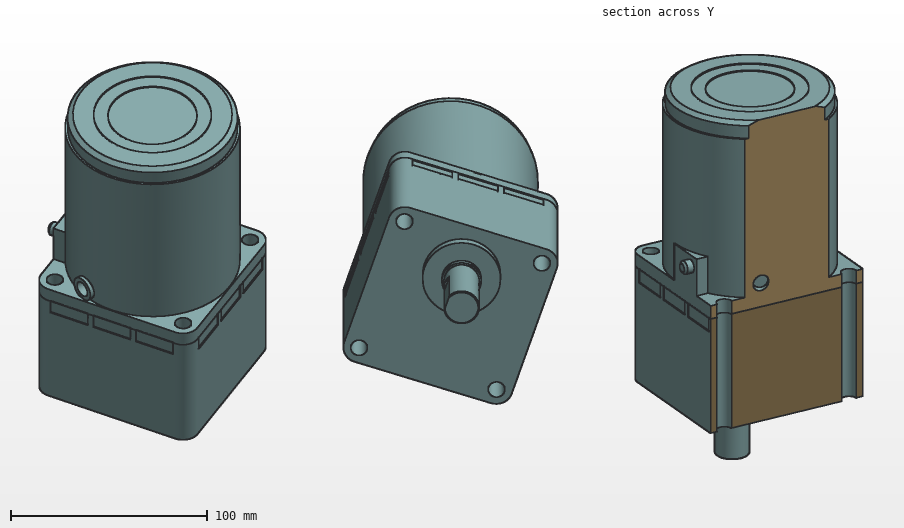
import cadquery as cq
import math


SQUARE_SIDE = 89.9
CORNER_RADIUS = 8.5
BOLT_SPACING = 73.6
BOLT_HOLE_DIAMETER = 8.5
HALF_SIDE = SQUARE_SIDE / 2

FLANGE_THICKNESS = 7.5
BARREL_DIAMETER = 89.0
BARREL_LENGTH = 88.5
CAP_DIAMETER = 86.5
CAP_HEIGHT = 8.9
CAP_CHAMFER_HEIGHT = 2.0
CAP_CHAMFER_WIDTH = 2.7
CAP_RECESS_DIAMETERS = (60.0, 45.4)
CAP_RECESS_STEP = 0.6
BARREL_TOP = FLANGE_THICKNESS + BARREL_LENGTH
CAP_TOP = BARREL_TOP + CAP_HEIGHT

TERMINAL_WIDTH = 22.8
TERMINAL_HEIGHT = 20.5
SCREW_DIAMETER = 7.2
SCREW_LENGTH = 5.0
SCREW_CHAMFER = 1.3
SCREW_Y = -16.7
SCREW_HEIGHT = 14.3

OUTLET_DIAMETER = 12.9
OUTLET_BORE_DIAMETER = 8.2
OUTLET_BORE_DEPTH = 10.5
OUTLET_REACH = 46.6
OUTLET_ANGLE = 22.5
OUTLET_HEIGHT = 6.0

GEARBOX_HEIGHT = 63.7
WINDOW_WIDTH = 21.3
WINDOW_HEIGHT = 7.5
WINDOW_DEPTH = 0.6
WINDOW_PITCH = 24.5
WINDOWS_PER_SIDE = 3

SHAFT_OFFSET_Y = 18.0
BOSS_DIAMETER = 39.7
BOSS_HEIGHT = 5.0
COLLAR_DIAMETER = 20.0
COLLAR_HEIGHT = 3.0
SHAFT_DIAMETER = 18.0
SHAFT_LENGTH = 34.4
SHAFT_TIP_CHAMFER = 0.53
FLAT_LENGTH = 25.1
FLAT_DEPTH = 1.0


def square_plate(bottom, height):
    """Square block with rounded corners and four bolt holes."""
    return (
        cq.Workplane("XY", origin=(0, 0, bottom))
        .rect(SQUARE_SIDE, SQUARE_SIDE)
        .extrude(height)
        .edges("|Z")
        .fillet(CORNER_RADIUS)
        .faces(">Z")
        .workplane()
        .rect(BOLT_SPACING, BOLT_SPACING, forConstruction=True)
        .vertices()
        .hole(BOLT_HOLE_DIAMETER)
    )


def disc(diameter, bottom, height, y=0):
    """Upright cylinder; a negative height makes it hang below its start."""
    return cq.Workplane("XY", origin=(0, y, bottom)).circle(diameter / 2).extrude(height)


def motor_cap():
    """End cap with a bevelled rim and two stepped recesses in its top."""
    cap = disc(CAP_DIAMETER, BARREL_TOP, CAP_HEIGHT)
    cap = cap.faces(">Z").chamfer(CAP_CHAMFER_HEIGHT, CAP_CHAMFER_WIDTH)
    for step, diameter in enumerate(CAP_RECESS_DIAMETERS, start=1):
        cap = cap.cut(disc(diameter, CAP_TOP, -step * CAP_RECESS_STEP))
    return cap


def earth_terminal():
    """Block that squares off the barrel on the -X side, with its screw."""
    block = cq.Workplane("XY").box(
        HALF_SIDE, TERMINAL_WIDTH, TERMINAL_HEIGHT, centered=False
    ).translate((-HALF_SIDE, -TERMINAL_WIDTH, FLANGE_THICKNESS))
    screw = (
        cq.Workplane("YZ", origin=(-HALF_SIDE, SCREW_Y, FLANGE_THICKNESS + SCREW_HEIGHT))
        .circle(SCREW_DIAMETER / 2)
        .extrude(-SCREW_LENGTH)
        .faces("<X")
        .chamfer(SCREW_CHAMFER)
    )
    return block.union(screw)


def outlet_plug(diameter, length):
    """Cylinder that runs inwards from the end face of the cable outlet."""
    angle = math.radians(OUTLET_ANGLE)
    outwards = cq.Vector(-math.sin(angle), -math.cos(angle), 0)
    face_center = outwards * OUTLET_REACH + cq.Vector(0, 0, FLANGE_THICKNESS + OUTLET_HEIGHT)
    return cq.Workplane(cq.Solid.makeCylinder(diameter / 2, length, face_center, -outwards))


def make_motor():
    motor = (
        square_plate(0, FLANGE_THICKNESS)
        .union(disc(BARREL_DIAMETER, FLANGE_THICKNESS, BARREL_LENGTH))
        .union(motor_cap())
        .union(earth_terminal())
    )
    outlet = outlet_plug(OUTLET_DIAMETER, OUTLET_REACH / 2)
    bore = outlet_plug(OUTLET_BORE_DIAMETER, OUTLET_BORE_DEPTH)
    return motor.union(outlet).cut(bore)


def side_windows():
    """Shallow pockets along the top edge of all four gearbox sides."""
    row = (
        cq.Workplane("XY", origin=(0, -HALF_SIDE, -WINDOW_HEIGHT / 2))
        .rarray(WINDOW_PITCH, 2.1, WINDOWS_PER_SIDE, 1)
        .box(WINDOW_WIDTH, 2 * WINDOW_DEPTH, WINDOW_HEIGHT, combine=False)
    )
    windows = cq.Workplane("XY")
    for turn in range(4):
        windows = windows.add(row.rotate((0, 0, 0), (0, 0, 1), 90 * turn))
    return windows.combine()


def output_shaft():
    """Boss, collar and shaft below the gearbox; the shaft has a flat on its +X side."""
    collar_top = -GEARBOX_HEIGHT - BOSS_HEIGHT
    shaft_top = collar_top - COLLAR_HEIGHT
    shaft_tip = shaft_top - SHAFT_LENGTH
    boss = disc(BOSS_DIAMETER, -GEARBOX_HEIGHT, -BOSS_HEIGHT, SHAFT_OFFSET_Y)
    collar = disc(COLLAR_DIAMETER, collar_top, -COLLAR_HEIGHT, SHAFT_OFFSET_Y)
    shaft = disc(SHAFT_DIAMETER, shaft_top, -SHAFT_LENGTH, SHAFT_OFFSET_Y)
    shaft = shaft.faces("<Z").chamfer(SHAFT_TIP_CHAMFER)
    flat_cut = cq.Workplane("XY").box(
        SHAFT_DIAMETER, SHAFT_DIAMETER, FLAT_LENGTH, centered=(False, True, False)
    ).translate((SHAFT_DIAMETER / 2 - FLAT_DEPTH, SHAFT_OFFSET_Y, shaft_tip))
    return boss.union(collar).union(shaft.cut(flat_cut))


def make_gearbox():
    return (
        square_plate(-GEARBOX_HEIGHT, GEARBOX_HEIGHT)
        .cut(side_windows())
        .union(output_shaft())
    )


motor = make_motor()
gearbox = make_gearbox()

result = cq.Compound.makeCompound([motor.val(), gearbox.val()])